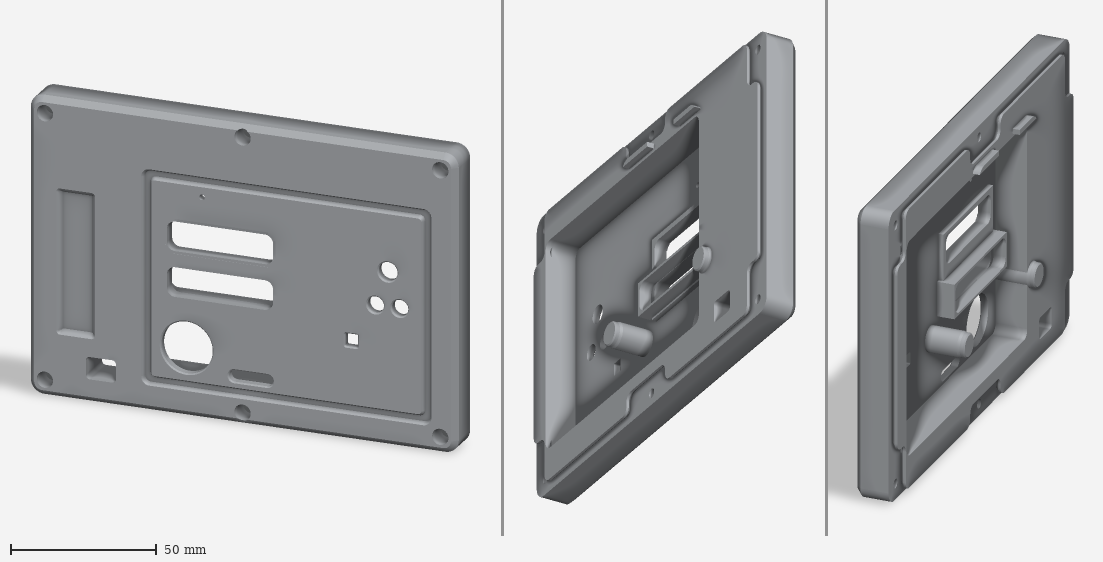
import cadquery as cq
import math

width = 158.0
height = 110.0
total_depth = 17.5
body_depth = 12.5
lip_back = 14.9
corner_radius = 4.9
front_chamfer = 2.0
panel_thickness = 3.0

lip_inset = 2.0
lip_undercut = 1.5
step_radius = 3.0
corner_step_x = 9.5
corner_step_z = 20.0
middle_step_half_width = 13.3
middle_step_z = 9.5

cavity_center = (16.1, 0.0)
cavity_width = 105.2
cavity_height = 81.5
cavity_radius = 3.0

screw_hole = 3.5
screw_counterbore = 6.0
screw_counterbore_depth = 7.9
corner_screw_x = 73.0
corner_screw_z = 49.0
middle_screw_z = 50.5

groove_center = (16.1, -5.8)
groove_width = 107.1
groove_height = 79.5
groove_radius = 3.0
groove_depth = 1.6
groove_slope = 1.0
groove_floor = 1.9
island_radius = 1.1

pocket_center = (-61.6, -4.7)
pocket_width = 14.4
pocket_height = 53.7
pocket_radius = 1.5
pocket_depth = 1.9
pocket_slope = 1.7

side_window_center = (-52.3, -42.3)
side_window_width = 11.0
side_window_height = 8.2
side_window_radius = 1.5
pin_hole_center = (-15.0, 26.4)
pin_hole = 2.0

display_x = -8.4
upper_display_z = 10.6
lower_display_z = -6.2
display_width = 39.2
display_height = 10.9
display_radius = 3.0
ledge_width = 1.0
ledge_end_gap = 1.9
ledge_depth = 0.2

frame_back = 4.9
frame_wall = 1.9
shroud_back = 9.5
shroud_wall = 1.0
shroud_side_room = 2.4
shroud_drop = 0.2

rim_chamfer = 0.5
dial_center = (-20.7, -29.7)
dial_hole = 19.0
large_jack_center = (53.5, 8.8)
large_jack_hole = 7.0
small_jack_centers = [(49.0, -4.0), (58.0, -4.0)]
small_jack_hole = 6.0
slot_center = (3.0, -37.6)
slot_length = 16.3
slot_height = 4.3
button_center = (40.1, -18.3)
button_side = 4.7
button_radius = 0.5

post_centers = [(-40.6, -18.6), (20.4, -18.6)]
post_diameter = 8.8
post_chamfer = 0.5
post_base_diameter = 9.5
post_flare_front = 14.9
post_flare_back = 15.8

bar_top_z = 44.0
bar_thickness = 1.9
bar_radius = 4.0
left_bar_x = (-38.7, -23.7)
right_bar_x = (-5.7, 11.7)


def at_depth(y, center=(0, 0)):
    """Workplane facing the front, with X to the right and Z up, at depth y."""
    return cq.Workplane("XZ", origin=(0, y, 0)).center(*center)


def block(center, size_x, size_z, front, back, radius=0.0):
    """Block from depth front to depth back, with rounded corners in the X-Z outline."""
    solid = at_depth(front, center).rect(size_x, size_z).extrude(front - back)
    if radius > 0:
        solid = solid.edges("|Y").fillet(radius)
    return solid


def cylinder(center, diameter, front, back):
    return at_depth(front, center).circle(diameter / 2).extrude(front - back)


def rounded_outline(center, size_x, size_z, radius):
    """Rounded rectangle on the front face, ready to extrude."""
    sketch = cq.Sketch().rect(size_x, size_z).vertices().fillet(radius)
    return at_depth(0, center).placeSketch(sketch)


def sloped_block(outline, depth, slope):
    """Block from the front face whose sides move inward by slope over the depth."""
    return outline.extrude(-depth, taper=math.degrees(math.atan2(slope, depth)))


def rimmed_opening(hole_outline, rim_outline):
    """Through cutter with a chamfered rim at the front face."""
    rim = sloped_block(rim_outline, rim_chamfer, rim_chamfer)
    return rim.union(hole_outline.extrude(-lip_back))


def round_opening(center, diameter):
    hole = at_depth(0, center).circle(diameter / 2)
    rim = at_depth(0, center).circle(diameter / 2 + rim_chamfer)
    return rimmed_opening(hole, rim)


def make_slot():
    hole = at_depth(0, slot_center).slot2D(slot_length, slot_height)
    rim = at_depth(0, slot_center).slot2D(slot_length + 2 * rim_chamfer, slot_height + 2 * rim_chamfer)
    return rimmed_opening(hole, rim)


def make_button_opening():
    rim_side = button_side + 2 * rim_chamfer
    hole = rounded_outline(button_center, button_side, button_side, button_radius)
    rim = rounded_outline(button_center, rim_side, rim_side, button_radius + rim_chamfer)
    return rimmed_opening(hole, rim)


def make_lip():
    """Lip inset from the body, stepped inward around the six screws and undercut at its root."""
    lip = block((0, 0), width - 2 * lip_inset, height - 2 * lip_inset, body_depth, lip_back)
    for edge_z in (-height / 2, height / 2):
        lip = lip.cut(block((0, edge_z), 2 * middle_step_half_width, 2 * middle_step_z, body_depth, lip_back))
        for edge_x in (-width / 2, width / 2):
            corner = (edge_x, edge_z)
            lip = lip.cut(block(corner, 2 * corner_step_x, 2 * corner_step_z, body_depth, lip_back))
    lip = lip.edges("|Y").fillet(step_radius)
    return lip.faces("<Y").edges().chamfer(lip_undercut)


def make_case():
    """Body with a chamfered front, the lip behind it and the cavity behind the panel."""
    body = block((0, 0), width, height, 0, body_depth, corner_radius)
    body = body.faces("<Y").edges().chamfer(front_chamfer)
    cavity = block(cavity_center, cavity_width, cavity_height, panel_thickness, lip_back, cavity_radius)
    return body.union(make_lip()).cut(cavity)


def cut_screw_holes(case):
    centers = [(0, -middle_screw_z), (0, middle_screw_z)]
    for x in (-corner_screw_x, corner_screw_x):
        centers += [(x, -corner_screw_z), (x, corner_screw_z)]
    for center in centers:
        case = case.cut(cylinder(center, screw_hole, 0, body_depth))
        case = case.cut(cylinder(center, screw_counterbore, 0, screw_counterbore_depth))
    return case


def make_groove():
    """Frame-shaped groove with sloped sides around an island level with the front face."""
    groove_span = 2 * groove_slope + groove_floor
    island_width = groove_width - 2 * groove_span
    island_height = groove_height - 2 * groove_span
    outer_outline = rounded_outline(groove_center, groove_width, groove_height, groove_radius)
    island_outline = rounded_outline(groove_center, island_width, island_height, island_radius)
    outer = sloped_block(outer_outline, groove_depth, groove_slope)
    island = sloped_block(island_outline, groove_depth, -groove_slope)
    return outer.cut(island)


def make_pocket():
    outline = rounded_outline(pocket_center, pocket_width, pocket_height, pocket_radius)
    return sloped_block(outline, pocket_depth, pocket_slope)


def add_display_frames(case):
    """Thicken the panel around both windows and surround the lower one with a deeper shroud."""
    frame_center = (display_x, (upper_display_z + lower_display_z) / 2)
    frame_x = display_width + 2 * frame_wall
    frame_z = upper_display_z - lower_display_z + display_height + 2 * frame_wall
    frame = block(frame_center, frame_x, frame_z, panel_thickness, frame_back)
    lower_center = (display_x, lower_display_z)
    room_x = display_width + 2 * shroud_side_room
    room_z = display_height + 2 * shroud_drop
    room = block(lower_center, room_x, room_z, frame_back, shroud_back, display_radius)
    shroud_x = room_x + 2 * shroud_wall
    shroud_z = room_z + 2 * shroud_wall
    shroud = block(lower_center, shroud_x, shroud_z, panel_thickness, shroud_back)
    return case.union(frame).union(shroud.cut(room))


def cut_display_windows(case):
    """Cut both windows, and a shallow ledge along each side of the upper one."""
    for z in (upper_display_z, lower_display_z):
        case = case.cut(block((display_x, z), display_width, display_height, 0, lip_back, display_radius))
    center = (display_x, upper_display_z)
    ledge_x = display_width - 2 * ledge_end_gap
    ledge_z = display_height - 2 * ledge_end_gap
    case = case.cut(block(center, ledge_x, display_height + 2 * ledge_width, 0, ledge_depth))
    return case.cut(block(center, display_width + 2 * ledge_width, ledge_z, 0, ledge_depth))


def make_post(center):
    """Post that starts at the back of the panel and ends at the full depth of the part."""
    post = cylinder(center, post_diameter, panel_thickness, total_depth)
    post = post.faces(">Y").edges().chamfer(post_chamfer)
    base = cylinder(center, post_base_diameter, panel_thickness, post_flare_front)
    flare_length = post_flare_back - post_flare_front
    flare_angle = math.degrees(math.atan2((post_base_diameter - post_diameter) / 2, flare_length))
    flare = at_depth(post_flare_front, center).circle(post_base_diameter / 2)
    return post.union(base).union(flare.extrude(-flare_length, taper=flare_angle))


def make_bar(ends, rounded_end):
    """Top slice of a block with one rounded corner, at the end picked by the edge selector."""
    length = ends[1] - ends[0]
    middle_x = (ends[0] + ends[1]) / 2
    full = block((middle_x, bar_top_z - bar_radius), length, 2 * bar_radius, panel_thickness, total_depth)
    full = full.edges("|Y").edges(">Z").edges(rounded_end).fillet(bar_radius)
    slice_center = (middle_x, bar_top_z - bar_thickness / 2)
    top_slice = block(slice_center, length, bar_thickness, panel_thickness, total_depth)
    return full.intersect(top_slice)


case = make_case()
case = add_display_frames(case)
case = cut_display_windows(case)
case = cut_screw_holes(case)
case = case.cut(make_groove())
case = case.cut(make_pocket())
case = case.cut(
    block(side_window_center, side_window_width, side_window_height, 0, lip_back, side_window_radius)
)
case = case.cut(cylinder(pin_hole_center, pin_hole, 0, lip_back))
case = case.cut(make_slot())
case = case.cut(make_button_opening())
case = case.cut(round_opening(dial_center, dial_hole))
case = case.cut(round_opening(large_jack_center, large_jack_hole))
for jack_center in small_jack_centers:
    case = case.cut(round_opening(jack_center, small_jack_hole))
for post_center in post_centers:
    case = case.union(make_post(post_center))
case = case.union(make_bar(left_bar_x, "<X"))
case = case.union(make_bar(right_bar_x, ">X"))

result = case